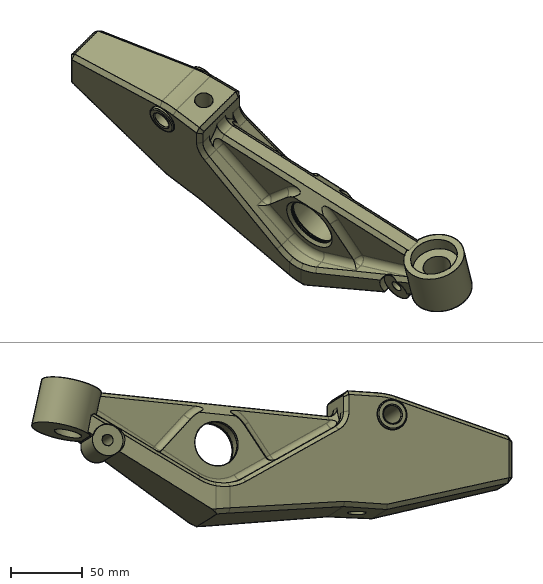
import cadquery as cq
import math


NOSE_X = -215.2
NOSE_HALF_HEIGHT = 15.875
BLOCK_HALF_HEIGHT = 41.275
NOSE_SLOPE = 15.3
CREST_BLEND_R = 50.8
STEP_X = -90.3
KEEL_X = 3.2
KEEL_Z = -52.4
KEEL_ARM_SLOPE = 31.2
RAIL_Z = 29.3
RAIL_SLOPE = 2.73
ARM_END_X = 98.0

NOSE_HALF_WIDTH = 15.875
CREST_HALF_WIDTH = 28.88
TIP_TAPER = 8.0
SIDE_BLEND_R = 50.8

EDGE_CHAMFER = 3.175

WEB_HALF = 7.94
STEP_FILLET = 6.35
FLOOR_FILLET = 5.08
PAD_HALF = WEB_HALF + FLOOR_FILLET
POCKET_R = 30.16
POCKET_CORNER_R = 12.7
REAR_WALL_SLOPE = 31.0
TIP_WALL_SLOPE = 30.0
PAD_R = POCKET_R - FLOOR_FILLET
REAR_RIB_ANGLE = 145.0
TIP_RIB_ANGLE = 42.0

BORE_D = 31.51
SEAT_D = 36.51
GROOVE_D = 38.81
SEAT_MOUTH_D = 41.0
GROOVE_WIDTH = 1.6
GROOVE_INSET = 3.2
LIP_THICKNESS = 3.175

TIP_TILT = 12.5
TIP_D = 42.86
TIP_HEIGHT = 33.34
TIP_BASE_X = 109.0
TIP_BASE_Z = 4.9
TIP_SEAT_D = 33.02
TIP_SEAT_DEPTH = 9.525
TIP_HOLE_X = 104.4
TIP_HOLE_D = 19.05

EAR_X = 79.7
EAR_Z = -2.0
EAR_D = 22.225
EAR_HALF = 14.29
EAR_HOLE_D = 7.94

PIVOT_X = -125.0
PIVOT_Z = 25.6
PIVOT_D = 12.7
PIVOT_BOSS_D = 21.43
PIVOT_BOSS_HALF = 23.8
PIVOT_CHAMFER = 0.8
NOSE_HOLE_D = 17.43
NOSE_HOLE_DEPTH = 50.8
BLOCK_HOLE_X = -106.0
BLOCK_HOLE_D = 12.7

REACH = 200.0


def tan(angle):
    return math.tan(math.radians(angle))


def rail_height(x):
    return RAIL_Z + x * tan(RAIL_SLOPE)


def polar(radius, angle):
    return radius * math.cos(math.radians(angle)), radius * math.sin(math.radians(angle))


def y_cylinder(x, z, diameter, y_from, y_to):
    disc = cq.Workplane("XZ", origin=(x, y_from, z)).circle(diameter / 2)
    return disc.extrude(y_from - y_to)


def mirrored(half):
    return half.union(half.mirror("XZ"))


def corner_box(x, z):
    """Selects the edges that run along Y at the given corner of a side outline."""
    return cq.selectors.BoxSelector((x - 1, -2 * REACH, z - 1), (x + 1, 2 * REACH, z + 1))


def chamfer_matching(body, test):
    edges = [edge for edge in body.edges().vals() if test(edge)]
    return body.newObject(edges).chamfer(EDGE_CHAMFER)


def is_block_edge(edge):
    """Nose-face edges and the long side edges along the crest and the keel."""
    box = edge.BoundingBox()
    on_nose = box.xmax < NOSE_X + 0.01
    along_side = box.xlen > 1
    return on_nose or (along_side and box.xmin < ARM_END_X - 1)


def make_blank():
    """Rear block with its crest and keel carried on to the tip, tapered in plan and chamfered."""
    shoulder_x = NOSE_X + (BLOCK_HALF_HEIGHT - NOSE_HALF_HEIGHT) / tan(NOSE_SLOPE)
    keel_slope = (KEEL_Z + BLOCK_HALF_HEIGHT) / (KEEL_X - STEP_X)
    keel_end_z = KEEL_Z + keel_slope * (ARM_END_X - KEEL_X)
    side = (
        cq.Workplane("XZ")
        .moveTo(NOSE_X, NOSE_HALF_HEIGHT)
        .lineTo(shoulder_x, BLOCK_HALF_HEIGHT)
        .lineTo(ARM_END_X, BLOCK_HALF_HEIGHT)
        .lineTo(ARM_END_X, keel_end_z)
        .lineTo(STEP_X, -BLOCK_HALF_HEIGHT)
        .lineTo(shoulder_x, -BLOCK_HALF_HEIGHT)
        .lineTo(NOSE_X, -NOSE_HALF_HEIGHT)
        .close()
        .extrude(REACH, both=True)
        .edges(corner_box(shoulder_x, BLOCK_HALF_HEIGHT))
        .fillet(CREST_BLEND_R)
    )
    tip_half = CREST_HALF_WIDTH - ARM_END_X * tan(TIP_TAPER)
    plan = (
        cq.Workplane("XY")
        .moveTo(NOSE_X, NOSE_HALF_WIDTH)
        .lineTo(0, CREST_HALF_WIDTH)
        .lineTo(ARM_END_X, tip_half)
        .lineTo(ARM_END_X, -tip_half)
        .lineTo(0, -CREST_HALF_WIDTH)
        .lineTo(NOSE_X, -NOSE_HALF_WIDTH)
        .close()
        .extrude(REACH, both=True)
    )
    plan = plan.edges(cq.selectors.BoxSelector((-1, -REACH, -1), (1, REACH, 1))).fillet(SIDE_BLEND_R)
    return chamfer_matching(side.intersect(plan), is_block_edge)


def make_underside_wedge():
    """Material below the slope that climbs from the keel to the tip."""
    end_z = KEEL_Z + (REACH - KEEL_X) * tan(KEEL_ARM_SLOPE)
    start_z = KEEL_Z - KEEL_X * tan(KEEL_ARM_SLOPE)
    outline = cq.Workplane("XZ").polyline([(0, start_z), (REACH, end_z), (REACH, -REACH), (0, -REACH)])
    return outline.close().extrude(REACH, both=True)


def make_rail_cutter():
    """Everything above the rail, ahead of the block step."""
    base_z = rail_height(STEP_X)
    outline = (
        cq.Workplane("XZ")
        .polyline([(STEP_X, REACH), (STEP_X, base_z), (REACH, rail_height(REACH)), (REACH, REACH)])
        .close()
        .extrude(REACH, both=True)
    )
    return outline.edges(corner_box(STEP_X, base_z)).fillet(STEP_FILLET)


def wall_line_z(x, slope, side):
    """Height at x of a pocket wall tangent to the pocket circle; side is -1 rear, +1 tip."""
    return side * x * tan(slope) - POCKET_R / math.cos(math.radians(slope))


def pocket_prism(depth_y):
    """Pocket outline from the given distance off the mid-plane out through the -Y side."""
    rear = polar(POCKET_R, 270 - REAR_WALL_SLOPE)
    tip = polar(POCKET_R, 270 + TIP_WALL_SLOPE)
    corner_z = wall_line_z(STEP_X, REAR_WALL_SLOPE, -1)
    prism = (
        cq.Workplane("XZ", origin=(0, -depth_y, 0))
        .moveTo(STEP_X, REACH)
        .lineTo(STEP_X, corner_z)
        .lineTo(*rear)
        .threePointArc((0, -POCKET_R), tip)
        .lineTo(REACH, wall_line_z(REACH, TIP_WALL_SLOPE, 1))
        .lineTo(REACH, REACH)
        .close()
        .extrude(REACH)
    )
    return prism.edges(corner_box(STEP_X, corner_z)).fillet(POCKET_CORNER_R)


def make_pad_prism():
    """Outline of the raised pad around the bore, bounded by its two ribs."""
    rear = polar(PAD_R, REAR_RIB_ANGLE)
    tip = polar(PAD_R, TIP_RIB_ANGLE)
    rear_run = polar(REACH, REAR_RIB_ANGLE + 90)
    tip_run = polar(REACH, TIP_RIB_ANGLE - 90)
    return (
        cq.Workplane("XZ")
        .moveTo(rear[0] + rear_run[0], rear[1] + rear_run[1])
        .lineTo(*rear)
        .threePointArc((0, PAD_R), tip)
        .lineTo(tip[0] + tip_run[0], tip[1] + tip_run[1])
        .close()
        .extrude(2 * REACH)
    )


def rib_feet():
    """Selects the depth-wise pocket edges where the ribs run into the pocket walls."""
    return cq.selectors.BoxSelector((-60, -2 * REACH, -30), (60, 0, 0)) - cq.selectors.BoxSelector(
        (-PAD_R, -2 * REACH, -POCKET_R - 1), (PAD_R, 0, 0)
    )


def make_pockets():
    """Floors at web depth outside the ribs and shallower floors on the bore pads."""
    deep = pocket_prism(WEB_HALF).cut(make_pad_prism())
    deep = deep.faces(">Y").edges().add(deep.edges(rib_feet())).fillet(FLOOR_FILLET)
    shallow = pocket_prism(PAD_HALF).faces(">Y").edges().fillet(FLOOR_FILLET)
    return mirrored(deep.union(shallow))


def is_rim(edge):
    """Pocket rim edges, lying on the tapered sides of the arm."""
    mid = edge.positionAt(0.5)
    box = edge.BoundingBox()
    if mid.x < STEP_X - 0.01 or box.xmax > ARM_END_X + 1:
        return False
    rear = CREST_HALF_WIDTH + mid.x * (CREST_HALF_WIDTH - NOSE_HALF_WIDTH) / -NOSE_X
    tip = CREST_HALF_WIDTH - mid.x * tan(TIP_TAPER)
    if abs(abs(mid.y) - min(rear, tip)) > 0.5:
        return False
    if abs(mid.x - STEP_X) < 0.01:
        return True
    if mid.x < STEP_X + POCKET_CORNER_R:
        return mid.z > -10
    on_rear = abs(mid.z - wall_line_z(mid.x, REAR_WALL_SLOPE, -1)) < 0.1
    on_tip = abs(mid.z - wall_line_z(mid.x, TIP_WALL_SLOPE, 1)) < 0.1
    on_arc = abs(math.hypot(mid.x, mid.z) - POCKET_R) < 0.1
    return on_rear or on_tip or on_arc


def is_step_crest(edge):
    mid = edge.Center()
    return abs(mid.x - STEP_X) < 0.01 and abs(mid.z - BLOCK_HALF_HEIGHT) < 0.01


def make_rail_bevel():
    """Cutter that bevels the rail, its step fillet and the pad tops at 45 degrees."""
    flat_half = WEB_HALF - EDGE_CHAMFER
    outline = make_rail_cutter().faces("<Y").wires().vals()[0]
    outline = outline.translate(cq.Vector(0, REACH - flat_half, 0))
    flare = cq.Workplane("XZ", origin=(0, -flat_half, 0)).newObject([outline]).toPending()
    flare = flare.extrude(PAD_HALF - flat_half, taper=-45)
    ahead_of_step = cq.Workplane("XY").box(REACH, REACH, REACH).translate((STEP_X + REACH / 2, 0, 0))
    return mirrored(flare.intersect(ahead_of_step))


def tip_plane():
    tilt = math.radians(TIP_TILT)
    return cq.Plane(
        origin=(TIP_BASE_X, 0, TIP_BASE_Z),
        xDir=(math.cos(tilt), 0, math.sin(tilt)),
        normal=(-math.sin(tilt), 0, math.cos(tilt)),
    )


def tip_cylinder(diameter, bottom, top):
    return cq.Workplane(tip_plane()).workplane(offset=bottom).circle(diameter / 2).extrude(top - bottom)


def make_tip_boss():
    return tip_cylinder(TIP_D, 0, TIP_HEIGHT)


def make_tip_holes():
    """Upright through hole below a bearing seat that follows the tilt of the boss."""
    through = cq.Workplane("XY", origin=(TIP_HOLE_X, 0, 0)).circle(TIP_HOLE_D / 2)
    through = through.extrude(TIP_BASE_Z + TIP_HEIGHT, both=True)
    seat = tip_cylinder(TIP_SEAT_D, TIP_HEIGHT - TIP_SEAT_DEPTH, TIP_HEIGHT + 1)
    return through.union(seat)


def make_ear():
    return y_cylinder(EAR_X, EAR_Z, EAR_D, -EAR_HALF, EAR_HALF)


def make_ear_spotface():
    return mirrored(y_cylinder(EAR_X, EAR_Z, EAR_D, -REACH, -EAR_HALF))


def make_main_bore():
    """Grooved bearing seat entered from -Y, stopped by a lip on the +Y side."""
    bore = y_cylinder(0, 0, BORE_D, -PAD_HALF, PAD_HALF)
    seat = y_cylinder(0, 0, SEAT_D, -PAD_HALF, PAD_HALF - LIP_THICKNESS)
    groove_y = GROOVE_INSET - PAD_HALF
    groove = y_cylinder(0, 0, GROOVE_D, groove_y, groove_y + GROOVE_WIDTH)
    mouth_depth = (SEAT_MOUTH_D - SEAT_D) / 2
    mouth = cq.Solid.makeCone(
        SEAT_MOUTH_D / 2, SEAT_D / 2, mouth_depth, pnt=cq.Vector(0, -PAD_HALF, 0), dir=cq.Vector(0, 1, 0)
    )
    return bore.union(seat).union(groove).union(cq.Workplane(mouth))


def make_pivot_boss():
    boss = y_cylinder(PIVOT_X, PIVOT_Z, PIVOT_BOSS_D, -PIVOT_BOSS_HALF, PIVOT_BOSS_HALF)
    return boss.faces("<Y or >Y").edges().chamfer(PIVOT_CHAMFER)


def make_pivot_hole():
    hole = y_cylinder(PIVOT_X, PIVOT_Z, PIVOT_D, -REACH, REACH)
    mouth = cq.Solid.makeCone(
        PIVOT_D / 2 + PIVOT_CHAMFER,
        PIVOT_D / 2,
        PIVOT_CHAMFER,
        pnt=cq.Vector(PIVOT_X, -PIVOT_BOSS_HALF, PIVOT_Z),
        dir=cq.Vector(0, 1, 0),
    )
    return hole.union(mirrored(cq.Workplane(mouth)))


def make_block_holes():
    """Blind hole in the nose face and upright through hole in the block."""
    nose = cq.Workplane("YZ", origin=(NOSE_X, 0, 0)).circle(NOSE_HOLE_D / 2).extrude(NOSE_HOLE_DEPTH)
    block = cq.Workplane("XY", origin=(BLOCK_HOLE_X, 0, 0)).circle(BLOCK_HOLE_D / 2)
    return nose.union(block.extrude(REACH, both=True))


body = make_blank()
body = body.cut(make_underside_wedge())
body = body.cut(make_pockets(), clean=False)
body = body.cut(make_rail_cutter())
body = chamfer_matching(body, is_rim)
body = chamfer_matching(body, is_step_crest)
body = body.cut(make_rail_bevel())
body = body.union(make_tip_boss())
body = body.cut(make_ear_spotface())
body = body.union(make_ear())
body = body.union(make_pivot_boss())

body = body.cut(make_main_bore())
body = body.cut(make_tip_holes())
body = body.cut(y_cylinder(EAR_X, EAR_Z, EAR_HOLE_D, -REACH, REACH))
body = body.cut(make_pivot_hole())
body = body.cut(make_block_holes())
result = body